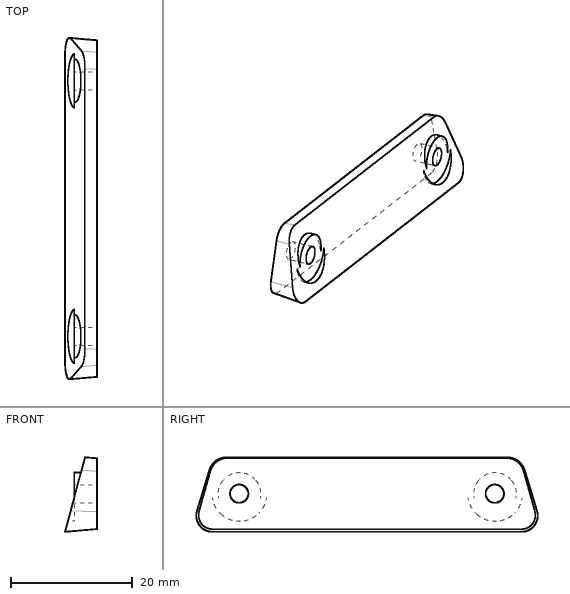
import cadquery as cq
import math

length = 56.2
depth = 5.3
height = 12.3

front_slope = 15.0
side_draft = 5.0
end_slope = 15.7
corner_overhang = 0.35
upper_corner_radius = 2.8
lower_corner_radius = 2.3

draft_rise = math.tan(math.radians(side_draft))
front_lean = math.tan(math.radians(front_slope))
back_half_bottom = length / 2 + corner_overhang
back_bottom = depth * draft_rise
back_top = height - (depth - height * front_lean) * draft_rise
back_half_top = back_half_bottom - (back_top - back_bottom) * math.tan(math.radians(end_slope))

seat_spacing = 42.05
seat_height = 6.3
seat_plane = 1.5
boss_diameter = 7.0
pocket_diameter = 9.0
hole_diameter = 3.0


def cylinder(diameter, start, end, y):
    """Cylinder along X at a screw seat, between two X positions."""
    plane = cq.Plane(origin=(start, y, seat_height), xDir=(0, 1, 0), normal=(1, 0, 0))
    return cq.Workplane(plane).circle(diameter / 2).extrude(end - start)


def make_plate():
    """Trapezoid with rounded corners, widening toward a sloping front face."""
    back_plane = cq.Plane(origin=(depth, 0, 0), xDir=(0, -1, 0), normal=(-1, 0, 0))
    corners = [
        (-back_half_bottom, back_bottom),
        (back_half_bottom, back_bottom),
        (back_half_top, back_top),
        (-back_half_top, back_top),
    ]
    outline = cq.Sketch().polygon(corners + corners[:1])
    outline = outline.vertices("<Y").fillet(lower_corner_radius).reset()
    outline = outline.vertices(">Y").fillet(upper_corner_radius)
    block = cq.Workplane(back_plane).placeSketch(outline).extrude(2 * depth, taper=-side_draft)
    return block.intersect(space_behind_front())


def space_behind_front():
    """Large wedge filling everything behind the sloping front face."""
    reach = 2 * height
    lean = reach * front_lean
    profile = [(-lean, -reach), (reach, -reach), (reach, reach), (lean, reach)]
    return cq.Workplane("XZ").polyline(profile).close().extrude(length, both=True)


result = make_plate()
for seat_y in (-seat_spacing / 2, seat_spacing / 2):
    pocket = cylinder(pocket_diameter, -depth, seat_plane, seat_y)
    boss = cylinder(boss_diameter, seat_plane, depth, seat_y)
    hole = cylinder(hole_diameter, -depth, 2 * depth, seat_y)
    result = result.cut(pocket).union(boss).cut(hole)
result = result.solids()